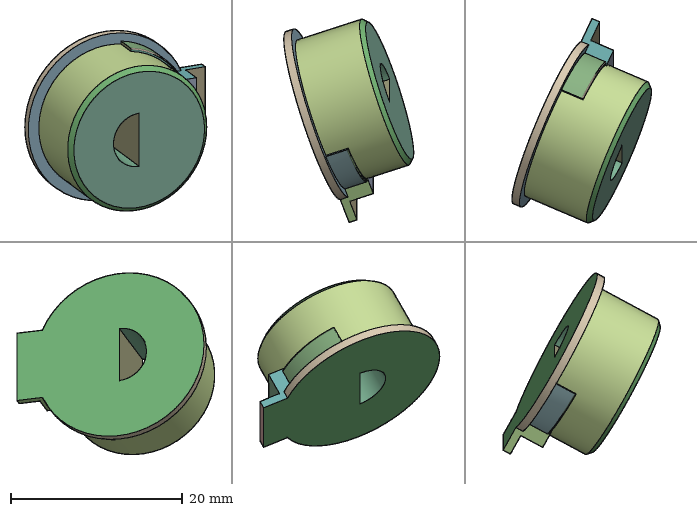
import cadquery as cq

total_length = 9.47
overall_width = 22.83
flange_diameter = 20.65
flange_radius = flange_diameter / 2
tab_tip_y = overall_width - flange_radius
flange_thickness = 0.98

body_radius = 8.97
body_chamfer = 0.55

tab_width = 8.58
key_top_y = 9.98
key_end_x = 3.9

pad_radius = 9.34
pad_start_y = 1.62
pad_end_x = 3.75
pad_fillet = 0.14

hole_radius = 3.3


def disc(radius, end_x):
    """Cylinder about the X axis, from the flange's outer face to end_x."""
    return cq.Workplane("YZ").circle(radius).extrude(end_x)


def key_bar(tip_y, end_x):
    """Rectangular bar of tab width, from the axis out to tip_y."""
    return cq.Workplane("XY").box(end_x, tip_y, tab_width, centered=(False, False, True))


def raised_pads():
    """Low arc-shaped step on the +Y side, with a rounded rear rim."""
    rounded_disc = disc(pad_radius, pad_end_x).faces(">X").edges().fillet(pad_fillet)
    keep_side = (
        cq.Workplane("XY")
        .box(pad_end_x, pad_radius, 2 * pad_radius, centered=(False, False, True))
        .translate((0, pad_start_y, 0))
    )
    return rounded_disc.intersect(keep_side)


def half_round_hole():
    """Half-disc cutter with its flat on the axis and its arc toward -Y."""
    return (
        cq.Workplane("YZ")
        .moveTo(0, hole_radius)
        .threePointArc((-hole_radius, 0), (0, -hole_radius))
        .close()
        .extrude(total_length)
    )


body = disc(body_radius, total_length).faces(">X").edges().chamfer(body_chamfer)
flange = disc(flange_radius, flange_thickness)
tab = key_bar(tab_tip_y, flange_thickness)
key = key_bar(key_top_y, key_end_x)

result = body.union(flange).union(tab).union(raised_pads()).union(key).cut(half_round_hole())